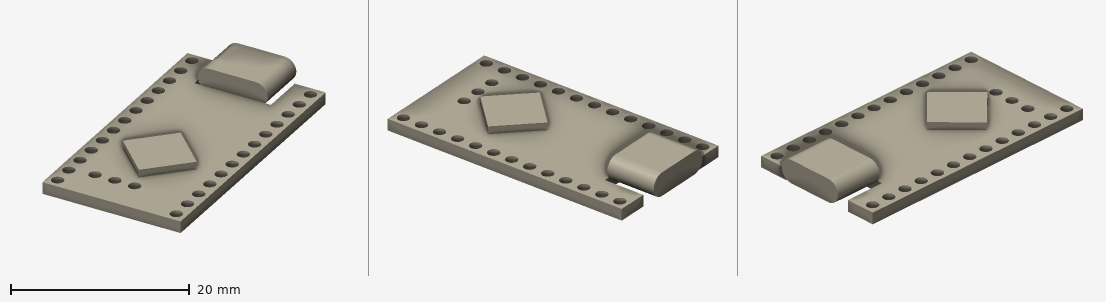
import cadquery as cq

board_width = 17.75
board_length = 32.97
board_thickness = 1.5
notch_width = 9.82
notch_depth = 5.42

hole_diameter = 1.5
hole_pitch = 2.54
holes_per_row = 13
row_spacing = 6 * hole_pitch
first_hole_y = 1.25
short_row_count = 3
short_row_start_x = -4.57
short_row_y = 4.35

connector_width = 8.95
connector_length = 6.55
connector_bottom = 0.85
connector_height = 3.05

chip_side = 6.72
chip_height = 1.0
chip_y = 10.98
chip_turn = 45

notch_floor_y = board_length - notch_depth


def make_board():
    """Board with its rear edge open for the connector and rows of through holes."""
    plate = cq.Workplane("XY").box(
        board_width, board_length, board_thickness, centered=(True, False, False)
    )
    notch = (
        cq.Workplane("XY")
        .box(notch_width, notch_depth, board_thickness, centered=(True, False, False))
        .translate((0, notch_floor_y, 0))
    )
    side_rows = [
        (side * row_spacing / 2, first_hole_y + i * hole_pitch)
        for side in (-1, 1)
        for i in range(holes_per_row)
    ]
    short_row = [
        (short_row_start_x + i * hole_pitch, short_row_y) for i in range(short_row_count)
    ]
    holes = (
        cq.Workplane("XY")
        .pushPoints(side_rows + short_row)
        .circle(hole_diameter / 2)
        .extrude(board_thickness)
    )
    return plate.cut(notch).cut(holes)


def make_connector():
    """Round-sided connector shell that sits against the floor of the notch."""
    return (
        cq.Workplane("XZ")
        .slot2D(connector_width, connector_height)
        .extrude(-connector_length)
        .translate((0, notch_floor_y, connector_bottom + connector_height / 2))
    )


def make_chip():
    """Square chip lying on the board, turned so that its corners point along X and Y."""
    return (
        cq.Workplane("XY")
        .rect(chip_side, chip_side)
        .extrude(chip_height)
        .rotate((0, 0, 0), (0, 0, 1), chip_turn)
        .translate((0, chip_y, board_thickness))
    )


board = make_board()
connector = make_connector()
chip = make_chip()

result = cq.Compound.makeCompound([board.val(), connector.val(), chip.val()])